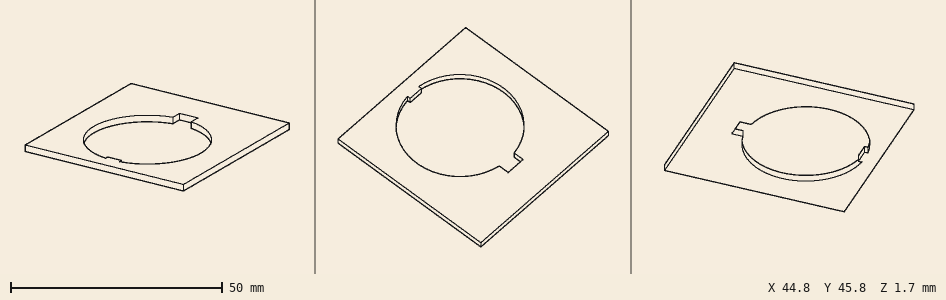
import cadquery as cq

plate_width = 44.8
plate_height = 45.75
plate_thickness = 1.7

opening_diameter = 30.3
opening_to_bottom_edge = 18.65

notch_width = 5.2
notch_reach = 17.8
tab_width = 4.0
tab_reach = 14.15


def make_plate():
    """Flat rectangular plate, its underside on Z = 0."""
    plate_center_y = plate_height / 2 - opening_to_bottom_edge
    return (
        cq.Workplane("XY")
        .center(0, plate_center_y)
        .rect(plate_width, plate_height)
        .extrude(plate_thickness)
    )


def make_bar(width, start_y, end_y):
    """Bar as thick as the plate, centred on X = 0 and running from start_y to end_y."""
    return (
        cq.Workplane("XY")
        .center(0, (start_y + end_y) / 2)
        .rect(width, end_y - start_y)
        .extrude(plate_thickness)
    )


def make_opening():
    """Keyed opening: a disc plus the notch, less the tab that stays on the plate."""
    opening_radius = opening_diameter / 2
    disc = cq.Workplane("XY").circle(opening_radius).extrude(plate_thickness)
    notch = make_bar(notch_width, 0, notch_reach)
    tab = make_bar(tab_width, -opening_radius, -tab_reach)
    return disc.union(notch).cut(tab)


result = make_plate().cut(make_opening())